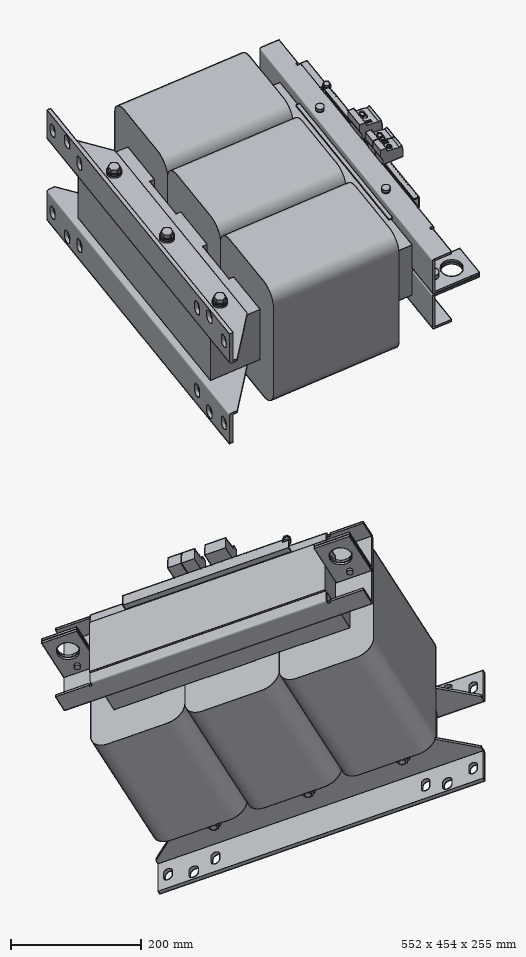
import cadquery as cq


leg_width = 80.0
core_width = 5 * leg_width
core_height = 111.0
core_front = 11.0
core_back = core_front + 5 * leg_width
window_front = core_front + leg_width
window_back = 323.5
leg_pitch = 2 * leg_width

coil_front = 99.5
coil_back = 323.0
coil_gap = 0.3
coil_width = leg_pitch - coil_gap
coil_height = 255.0
coil_radius = 30.0

foot_length = 552.0
foot_leg_thickness = 4.5
foot_face_thickness = 6.5
foot_face_height = 66.0
foot_depth = 76.0
foot_bevel_start = 14.0
foot_bend_radius = 4.5
foot_slots = [
    (259.0, 35.5, 14.5, 24.5),
    (215.5, 49.5, 16.0, 24.5),
    (178.5, 36.0, 14.5, 26.0),
]

foot_bolt_y = 51.5
foot_washer_diameter = 24.0
foot_washer_thickness = 4.0
foot_collar_diameter = 21.5
foot_collar_height = 3.0
foot_hexagon_diameter = 19.0
foot_head_height = 7.0
foot_nut_height = 8.0
foot_shank_diameter = 10.5
foot_shank_overhang = 4.5

channel_length = 522.0
channel_front = 370.0
channel_back = 408.5
channel_sheet = 4.5
channel_bend_radius = 4.0
channel_gap = 1.0
channel_top = 77.5
tab_width = 59.5
relief_width = 4.5
relief_depth = 3.0
tab_back = 454.0
eye_diameter = 35.5
eye_x = 231.5
eye_y = 422.0

tab_bolt_y = 388.5
tab_bolt_diameter = 10.0
tab_bolt_bottom = -9.5
tab_head_diameter = 17.5
tab_head_height = 9.0

bracket_half_length = 141.0
bracket_front = 363.0
bracket_back = 418.0
bracket_sheet = 2.0
bracket_bend_radius = 3.5
bracket_bottom = 60.0
rail_start = -129.5
rail_front = 407.5
rail_top = 84.0

bracket_bolt_x = 100.0
bracket_bolt_y = 382.0
bracket_bolt_diameter = 6.5
bracket_nut_diameter = 10.5
bracket_collar_diameter = 10.0
bracket_collar_height = 2.0
bracket_head_diameter = 13.0
bracket_head_height = 6.5

earth_screw_x = -137.0
earth_screw_y = 415.5
earth_washer_bottom = 77.0
earth_washer_height = 5.5
earth_washer_diameter = 12.5
earth_head_height = 4.0
earth_head_diameter = 11.0

terminal_profile = [
    (439.5, 83.5), (439.5, 98.0), (437.0, 109.0), (433.5, 106.5), (424.5, 109.0), (412.0, 110.0),
    (409.5, 117.5), (399.0, 117.5), (399.0, 102.0), (403.5, 94.0), (403.5, 83.5),
]
terminal_spans = [(-44.0, -9.0), (9.0, 30.5), (31.5, 54.0)]
well_y = 419.5
well_floor = 106.0
well_height = 11.0
well_width = 8.0
screw_wells = [
    (-32.0, 16.5), (20.5, 16.5), (46.5, 9.0),
]
wire_wells = [-15.5, 36.0]
wire_well_width = 5.0
screw_slot_width = 3.0
screw_slot_depth = 3.0


def box(x_range, y_range, z_range):
    """Box between the given limits."""
    limits = (x_range, y_range, z_range)
    size = [high - low for low, high in limits]
    corner = tuple(low for low, high in limits)
    return cq.Workplane("XY").box(*size, centered=False).translate(corner)


def centered_span(length, middle=0.0):
    return (middle - length / 2, middle + length / 2)


def disc(x, y, z_low, z_high, diameter):
    """Upright cylinder."""
    return cq.Workplane("XY", origin=(x, y, z_low)).circle(diameter / 2).extrude(z_high - z_low)


def hexagon(x, y, z_low, z_high, diameter):
    """Upright hexagonal prism."""
    return cq.Workplane("XY", origin=(x, y, z_low)).polygon(6, diameter).extrude(z_high - z_low)


def mirrored_below(body):
    return body.mirror("XY")


def make_core():
    core = box(centered_span(core_width), (core_front, core_back), centered_span(core_height))
    for side in (-1, 1):
        window = box(
            centered_span(leg_width, side * leg_width),
            (window_front, window_back),
            centered_span(core_height),
        )
        core = core.cut(window)
    return core


def make_coil(x):
    coil = box(centered_span(coil_width, x), (coil_front, coil_back), centered_span(coil_height))
    return coil.edges("|Y").fillet(coil_radius)


def make_upper_foot():
    """Angle bracket: a bevelled leg on the core and an upright slotted face."""
    core_face = core_height / 2
    leg = (
        cq.Workplane("XY", origin=(0, 0, core_face))
        .polyline([
            (-foot_length / 2, 0),
            (foot_length / 2, 0),
            (foot_length / 2, foot_bevel_start),
            (core_width / 2, foot_depth),
            (-core_width / 2, foot_depth),
            (-foot_length / 2, foot_bevel_start),
        ])
        .close()
        .extrude(foot_leg_thickness)
    )
    face = box(
        centered_span(foot_length),
        (0, foot_face_thickness),
        (core_face, core_face + foot_face_height),
    )
    foot = leg.union(face).faces("<Y").edges("<Z").fillet(foot_bend_radius)
    for x, height, width, length in foot_slots:
        slots = (
            cq.Workplane("XZ", origin=(0, 0, core_face + height))
            .pushPoints([(-x, 0), (x, 0)])
            .slot2D(length, width, 90)
            .extrude(-foot_face_thickness)
        )
        foot = foot.cut(slots)
    return foot


def make_foot_bolt(x):
    """Washer, collar and hexagon head above the feet; washer, nut and shank end below."""
    seat = core_height / 2 + foot_leg_thickness
    washer_top = seat + foot_washer_thickness
    collar_top = washer_top + foot_collar_height
    nut_bottom = -washer_top - foot_nut_height
    washer = disc(x, foot_bolt_y, seat, washer_top, foot_washer_diameter)
    collar = disc(x, foot_bolt_y, washer_top, collar_top, foot_collar_diameter)
    head = hexagon(x, foot_bolt_y, collar_top, collar_top + foot_head_height, foot_hexagon_diameter)
    nut = hexagon(x, foot_bolt_y, nut_bottom, -washer_top, foot_hexagon_diameter)
    shank = disc(x, foot_bolt_y, nut_bottom - foot_shank_overhang, nut_bottom, foot_shank_diameter)
    return washer.union(mirrored_below(washer)).union(collar).union(head).union(nut).union(shank)


def make_upper_channel():
    """Channel around the back yoke, with a lifting tab bent out at each end."""
    bottom = channel_gap / 2
    flange_back = channel_back - channel_sheet
    length = centered_span(channel_length)
    web = box(length, (channel_front, channel_front + channel_sheet), (bottom, channel_top))
    top_flange = box(length, (channel_front, flange_back), (channel_top - channel_sheet, channel_top))
    tabs = box(length, (channel_front, tab_back), (bottom, bottom + channel_sheet))
    between_tabs = box(
        centered_span(channel_length - 2 * tab_width), (channel_front, tab_back), (0, bottom + channel_sheet)
    )
    channel = web.union(top_flange).union(tabs.cut(between_tabs))
    channel = channel.faces("<Y").edges("|X and (>Z or <Z)").fillet(channel_bend_radius)

    lip = box(centered_span(core_width), (flange_back, channel_back), (core_height / 2, channel_top))
    lip = lip.edges("|X and >Y and >Z").fillet(channel_bend_radius)
    channel = channel.union(lip)

    for side in (-1, 1):
        relief = box(
            centered_span(relief_width, side * (core_width + relief_width) / 2),
            (flange_back - relief_depth, flange_back),
            (channel_top - channel_sheet, channel_top),
        )
        channel = channel.cut(relief)
        channel = channel.cut(disc(side * eye_x, eye_y, 0, channel_sheet + channel_gap, eye_diameter))
    return channel


def make_tab_bolt(x):
    tab_top = channel_gap / 2 + channel_sheet
    shank = disc(x, tab_bolt_y, tab_bolt_bottom, tab_top, tab_bolt_diameter)
    head = disc(x, tab_bolt_y, tab_top, tab_top + tab_head_height, tab_head_diameter)
    return shank.union(head)


def make_bracket():
    """Sheet bracket: floor, riser and a narrow top strip that carries the terminals."""
    floor = box(
        centered_span(2 * bracket_half_length),
        (bracket_front, bracket_back),
        (bracket_bottom, bracket_bottom + bracket_sheet),
    )
    rail_length = (rail_start, bracket_half_length)
    riser = box(rail_length, (bracket_back - bracket_sheet, bracket_back), (bracket_bottom, rail_top))
    strip = box(rail_length, (rail_front, bracket_back), (rail_top - bracket_sheet, rail_top))
    rail = riser.union(strip).edges("|X and >Y and >Z").fillet(bracket_bend_radius)
    end_riser = box(
        (-bracket_half_length, rail_start),
        (bracket_back - bracket_sheet, bracket_back),
        (bracket_bottom, rail_top - bracket_sheet),
    )
    return floor.union(rail).union(end_riser)


def make_bracket_bolt(x):
    yoke_top = core_height / 2
    collar_top = channel_top + bracket_collar_height
    head_top = collar_top + bracket_head_height
    shank = disc(x, bracket_bolt_y, yoke_top, channel_top, bracket_bolt_diameter)
    nut = disc(x, bracket_bolt_y, yoke_top, bracket_bottom, bracket_nut_diameter)
    collar = disc(x, bracket_bolt_y, channel_top, collar_top, bracket_collar_diameter)
    head = disc(x, bracket_bolt_y, collar_top, head_top, bracket_head_diameter)
    return shank.union(nut).union(collar).union(head)


def make_earth_screw():
    washer_top = earth_washer_bottom + earth_washer_height
    head_top = washer_top + earth_head_height
    washer = disc(earth_screw_x, earth_screw_y, earth_washer_bottom, washer_top, earth_washer_diameter)
    head = hexagon(earth_screw_x, earth_screw_y, washer_top, head_top, earth_head_diameter)
    return washer.union(head)


def make_terminal(start, end):
    """Terminal block between two X positions, with slotted screw wells and wire wells."""
    profile = cq.Workplane("YZ", origin=(start, 0, 0)).polyline(terminal_profile).close()
    terminal = profile.extrude(end - start)
    for x, length in screw_wells:
        if start < x < end:
            well = cq.Workplane("XY", origin=(x, well_y, well_floor)).slot2D(length, well_width)
            terminal = terminal.cut(well.extrude(well_height))
            driver_slot = box(
                centered_span(screw_slot_width, x),
                centered_span(well_width, well_y),
                (well_floor - screw_slot_depth, well_floor),
            )
            terminal = terminal.cut(driver_slot)
    for x in wire_wells:
        if start < x < end:
            well = cq.Workplane("XY", origin=(x, well_y, well_floor)).rect(wire_well_width, well_width)
            terminal = terminal.cut(well.extrude(well_height))
    return terminal


upper_foot = make_upper_foot()
upper_channel = make_upper_channel()

result = make_core()
for leg_x in (-leg_pitch, 0, leg_pitch):
    result = result.union(make_coil(leg_x))
    result = result.union(make_foot_bolt(leg_x))
for sheet_part in (upper_foot, upper_channel):
    result = result.union(sheet_part).union(mirrored_below(sheet_part))
result = result.union(make_bracket())
for side in (-1, 1):
    result = result.union(make_tab_bolt(side * eye_x))
    result = result.union(make_bracket_bolt(side * bracket_bolt_x))
result = result.union(make_earth_screw())
for terminal_start, terminal_end in terminal_spans:
    result = result.union(make_terminal(terminal_start, terminal_end))